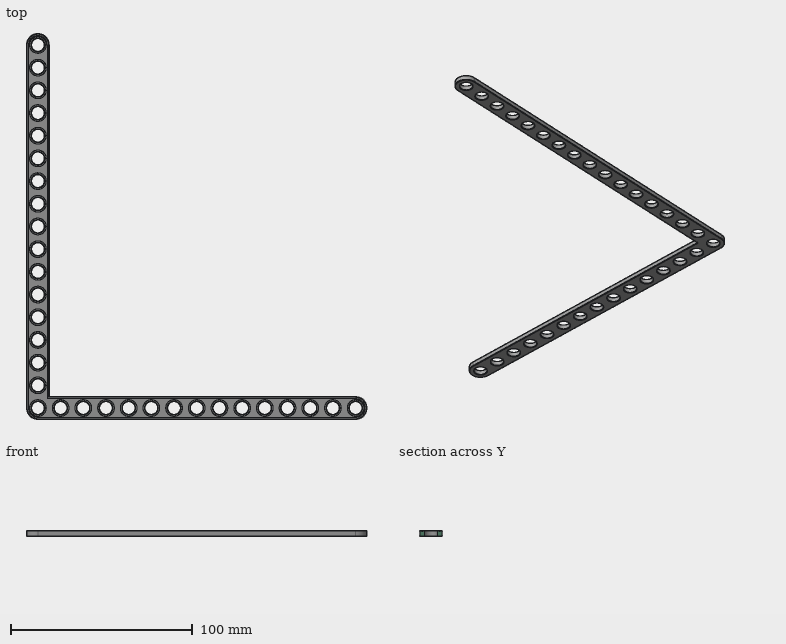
import cadquery as cq

pitch = 12.5
thickness = 3.12
holes_along_x = 15
holes_along_y = 17
hole_diameter = 7.0
edge_chamfer = 0.3
rim_width = 1.1
pocket_depth = 0.2

collar_diameter = hole_diameter + 2 * rim_width
pocket_width = pitch - 2 * rim_width


def arm(hole_count, width, height):
    """Flat bar along +X with round ends centred on its first and last hole."""
    span = (hole_count - 1) * pitch
    return cq.Workplane("XY").center(span / 2, 0).slot2D(span + width, width).extrude(height)


def angle_bar(width, height):
    """Two arms at a right angle sharing the round corner at the origin."""
    x_arm = arm(holes_along_x, width, height)
    y_arm = arm(holes_along_y, width, height).rotate((0, 0, 0), (0, 0, 1), 90)
    return x_arm.union(y_arm).clean()


def hole_centres():
    """Centres of the holes on both arms, with the corner hole listed once."""
    along_x = [(i * pitch, 0) for i in range(holes_along_x)]
    along_y = [(0, i * pitch) for i in range(1, holes_along_y)]
    return along_x + along_y


def cylinders(diameter, height):
    """One upright cylinder at every hole position."""
    return cq.Workplane("XY").pushPoints(hole_centres()).circle(diameter / 2).extrude(height)


def top_pocket():
    """Shallow recess of the top face, leaving the border and the hole collars."""
    floor_area = angle_bar(pocket_width, pocket_depth)
    recess = floor_area.cut(cylinders(collar_diameter, pocket_depth))
    return recess.translate((0, 0, thickness - pocket_depth))


drilled_plate = angle_bar(pitch, thickness).cut(cylinders(hole_diameter, thickness))
bevelled_plate = drilled_plate.faces("<Z or >Z").chamfer(edge_chamfer)
result = bevelled_plate.cut(top_pocket())